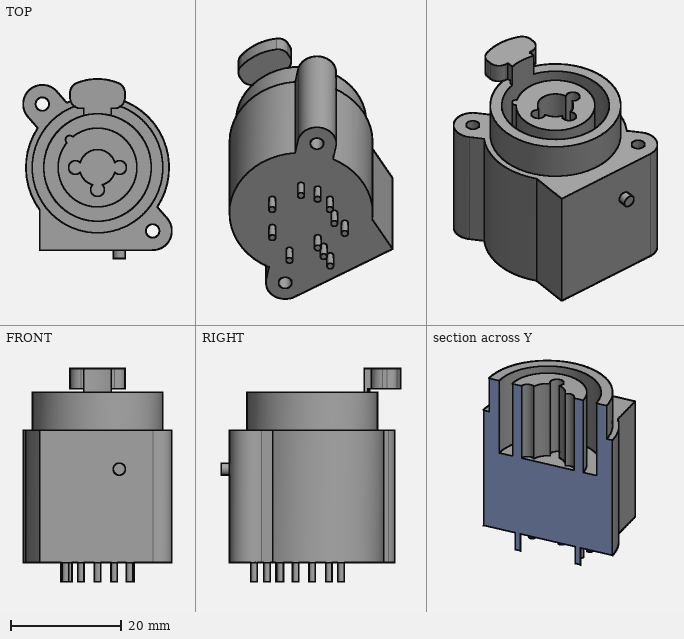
import math

import cadquery as cq

BODY_RADIUS = 13.0
BODY_HEIGHT = 24.0
LUG_RADIUS = 3.5
LUG_X = 10.0
LUG_Y = 11.5
SCREW_HOLE_DIAMETER = 2.4
BLOCK_LEFT_X = -10.5
BLOCK_FRONT_Y = -LUG_Y - LUG_RADIUS

COLLAR_RADIUS = 11.85
COLLAR_HEIGHT = 6.9
GROOVE_OUTER_RADIUS = 9.75
INSERT_RADIUS = 7.15
CAVITY_DEPTH = 15.0
COLLAR_TOP = BODY_HEIGHT + COLLAR_HEIGHT

KEY_RADIUS = 0.75
KEY_ANGLE = 135.0

JACK_RADIUS = 3.25
CONTACT_RADIUS = 1.25
CONTACT_CIRCLE_RADIUS = 4.0
CONTACT_ANGLES = (0.0, 180.0, 270.0)

LATCH_TOP = 35.2
LATCH_THICKNESS = 3.7
LATCH_HALF_WIDTH = 5.0
LATCH_CORNER_RADIUS = 2.0
LATCH_INNER_Y = 10.7
LATCH_CROWN_RADIUS = 10.0
LATCH_CROWN_CORNER_Y = 13.5
STEM_WIDTH = 5.0
STEM_OUTER_RADIUS = 10.4

PEG_RADIUS = 1.1
PEG_LENGTH = 1.5
PEG_X = 3.95
PEG_Z = 16.95

PIN_RADIUS = 0.6
PIN_LENGTH = 3.5
PIN_CIRCLES = (
    (6.03, (0.0, 60.0, 120.0, 150.0, 180.0, 210.0, 270.0)),
    (8.2, (225.0, 270.0, 315.0)),
    (10.55, (270.0,)),
)


def polar(radius, angle):
    """Point at the given radius and angle (degrees) around the barrel axis."""
    return (radius * math.cos(math.radians(angle)), radius * math.sin(math.radians(angle)))


def cylinder(radius, bottom, height, center=(0.0, 0.0)):
    """Vertical cylinder starting at Z = bottom."""
    return cq.Workplane("XY", origin=(*center, bottom)).circle(radius).extrude(height)


def make_lug_bar():
    """Round-ended bar through the barrel axis whose two ends are the screw lugs."""
    length = 2 * (math.hypot(LUG_X, LUG_Y) + LUG_RADIUS)
    angle = math.degrees(math.atan2(-LUG_Y, LUG_X))
    return cq.Workplane("XY").slot2D(length, 2 * LUG_RADIUS, angle).extrude(BODY_HEIGHT)


def make_body():
    barrel = cylinder(BODY_RADIUS, 0, BODY_HEIGHT)
    block = (
        cq.Workplane("XY")
        .polyline([
            (BLOCK_LEFT_X, 0),
            (BLOCK_LEFT_X, BLOCK_FRONT_Y),
            (LUG_X, BLOCK_FRONT_Y),
            (LUG_X, -LUG_Y),
            (0, 0),
        ])
        .close()
        .extrude(BODY_HEIGHT)
    )
    body = barrel.union(make_lug_bar()).union(block)
    for side in (-1, 1):
        center = (side * LUG_X, -side * LUG_Y)
        body = body.cut(cylinder(SCREW_HOLE_DIAMETER / 2, 0, BODY_HEIGHT, center))
    return body


def make_insert():
    """Keyed plug with the jack bore and contact holes, filling the collar cavity's center."""
    bottom = COLLAR_TOP - CAVITY_DEPTH
    key = cylinder(KEY_RADIUS, bottom, CAVITY_DEPTH, polar(INSERT_RADIUS, KEY_ANGLE))
    insert = cylinder(INSERT_RADIUS, bottom, CAVITY_DEPTH).union(key)
    insert = insert.cut(cylinder(JACK_RADIUS, bottom, CAVITY_DEPTH))
    for angle in CONTACT_ANGLES:
        center = polar(CONTACT_CIRCLE_RADIUS, angle)
        insert = insert.cut(cylinder(CONTACT_RADIUS, bottom, CAVITY_DEPTH, center))
    return insert


def make_latch_plate():
    """Thumb plate with a crowned outer edge, tangent to its rounded corners."""
    corner_x = LATCH_HALF_WIDTH - LATCH_CORNER_RADIUS
    inner_corner_y = LATCH_INNER_Y + LATCH_CORNER_RADIUS
    diagonal = LATCH_CORNER_RADIUS * math.sqrt(0.5)

    tilt = math.asin(corner_x / (LATCH_CROWN_RADIUS - LATCH_CORNER_RADIUS))
    crown_center_y = LATCH_CROWN_CORNER_Y - corner_x / math.tan(tilt)
    crown_end_x = LATCH_CROWN_RADIUS * math.sin(tilt)
    crown_end_y = crown_center_y + LATCH_CROWN_RADIUS * math.cos(tilt)
    mid_angle = (math.pi / 2 - tilt) / 2
    mid_x = corner_x + LATCH_CORNER_RADIUS * math.cos(mid_angle)
    mid_y = LATCH_CROWN_CORNER_Y + LATCH_CORNER_RADIUS * math.sin(mid_angle)

    return (
        cq.Workplane("XY", origin=(0, 0, LATCH_TOP - LATCH_THICKNESS))
        .moveTo(-corner_x, LATCH_INNER_Y)
        .lineTo(corner_x, LATCH_INNER_Y)
        .threePointArc(
            (corner_x + diagonal, inner_corner_y - diagonal),
            (LATCH_HALF_WIDTH, inner_corner_y),
        )
        .lineTo(LATCH_HALF_WIDTH, LATCH_CROWN_CORNER_Y)
        .threePointArc((mid_x, mid_y), (crown_end_x, crown_end_y))
        .threePointArc((0, crown_center_y + LATCH_CROWN_RADIUS), (-crown_end_x, crown_end_y))
        .threePointArc((-mid_x, mid_y), (-LATCH_HALF_WIDTH, LATCH_CROWN_CORNER_Y))
        .lineTo(-LATCH_HALF_WIDTH, inner_corner_y)
        .threePointArc(
            (-corner_x - diagonal, inner_corner_y - diagonal),
            (-corner_x, LATCH_INNER_Y),
        )
        .close()
        .extrude(LATCH_THICKNESS)
    )


def make_strip(bottom, depth):
    """Stem-wide block from the barrel axis to Y = depth, from Z = bottom to the latch top."""
    return (
        cq.Workplane("XY", origin=(0, depth / 2, bottom))
        .rect(STEM_WIDTH, depth)
        .extrude(LATCH_TOP - bottom)
    )


def make_latch():
    """Thumb plate and stem; the stem's inner face continues the collar's inner wall."""
    height = LATCH_TOP - BODY_HEIGHT
    stem_envelope = cylinder(STEM_OUTER_RADIUS, BODY_HEIGHT, height)
    stem = make_strip(BODY_HEIGHT, STEM_OUTER_RADIUS).intersect(stem_envelope)
    neck = make_strip(LATCH_TOP - LATCH_THICKNESS, LATCH_INNER_Y + LATCH_CORNER_RADIUS)
    bore = cylinder(GROOVE_OUTER_RADIUS, BODY_HEIGHT, height)
    return stem.union(neck).cut(bore).union(make_latch_plate())


def make_peg():
    return (
        cq.Workplane("XZ", origin=(PEG_X, BLOCK_FRONT_Y, PEG_Z))
        .circle(PEG_RADIUS)
        .extrude(PEG_LENGTH)
    )


def make_pins():
    centers = [polar(radius, angle) for radius, angles in PIN_CIRCLES for angle in angles]
    return cq.Workplane("XY").pushPoints(centers).circle(PIN_RADIUS).extrude(-PIN_LENGTH)


collar = cylinder(COLLAR_RADIUS, BODY_HEIGHT, COLLAR_HEIGHT)
cavity = cylinder(GROOVE_OUTER_RADIUS, COLLAR_TOP - CAVITY_DEPTH, CAVITY_DEPTH)
housing = make_body().union(collar).cut(cavity).union(make_insert())
result = housing.union(make_latch()).union(make_peg()).union(make_pins())